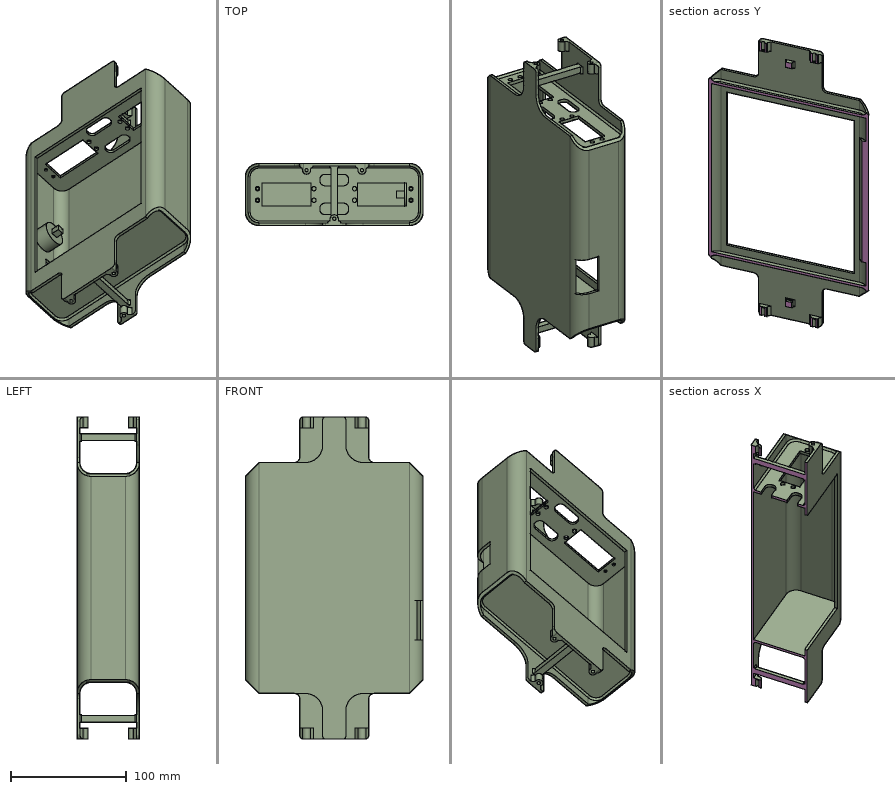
import cadquery as cq

WIDTH = 154.0
DEPTH = 54.0
HEIGHT = 279.0
WALL = 2.5
CORNER_RADIUS = 12.0
BODY_TOP = 100.0

HALF_WIDTH = WIDTH / 2
HALF_DEPTH = DEPTH / 2
HALF_HEIGHT = HEIGHT / 2
INNER_HALF_WIDTH = HALF_WIDTH - WALL
INNER_HALF_DEPTH = HALF_DEPTH - WALL
SIDE_TOP = BODY_TOP - CORNER_RADIUS

FRONT_TAB_HALF_WIDTH = 10.0
FRONT_TAB_ROOT_RADIUS = 15.0
FRONT_TAB_TIP_RADIUS = 2.5
BACK_TAB_HALF_WIDTH = 30.0
BACK_TAB_ROOT_RADIUS = 4.5
BACK_TAB_TIP_RADIUS = 3.5

PLATE_TOP = 88.5
PLATE_THICKNESS = 3.0
PLATE_EDGE_RISE = 1.7

SERVO_CENTER_X = 42.0
WINDOW_CENTER_X = 41.5
WINDOW_LENGTH = 42.4
WINDOW_WIDTH = 20.0
SERVO_HOLE_SPACING_X = 48.8
SERVO_HOLE_SPACING_Y = 10.0
INNER_HOLE_DIAMETER = 3.7
OUTER_HOLE_DIAMETER = 2.5
OUTER_HOLE_MOUTH_DIAMETER = 3.7
CABLE_SLOT_LENGTH = 25.0
CABLE_SLOT_WIDTH = 10.0
CABLE_SLOT_CENTER_Y = 12.5
CABLE_SLOT_CORNER_RADIUS = 4.5

BAR_SIZE = 6.0
BAR_CENTER_Z = 122.0
BAR_FLARE = 1.5
BAR_FLARE_DROP = 0.8

BOSS_DIAMETER = 7.0
BOSS_HEIGHT = 9.5
BOSS_CENTER_Y = 21.0
BOSS_HOLE_DIAMETER = 2.8
BOSS_HOLE_DEPTH = 8.0
BACK_BOSS_X = 24.0
BOSS_FLARE = 2.5

OPENING_HALF_WIDTH = 60.0
OPENING_HALF_HEIGHT = 78.0

SIDE_SLOT_FRONT_Y = -25.0
SIDE_SLOT_BACK_Y = -5.0
SIDE_SLOT_BOTTOM = -53.5
SIDE_SLOT_TOP = -19.7

WALL_BOSS_FACE_X = 61.0
WALL_BOSS_DIAMETER = 22.0
LUG_TIP_X = 54.0
LUG_SIZE = 6.0

WEB_HALF_HEIGHT = 62.0

BEVEL_CLEARANCE = 0.002


def box_between(x0, x1, y0, y1, z0, z1):
    """Box spanning the given coordinate ranges."""
    return cq.Workplane("XY").box(x1 - x0, y1 - y0, z1 - z0, centered=False).translate((x0, y0, z0))


def rounded_prism(width, depth, radius, z0, z1):
    """Vertical prism with a rounded rectangular section."""
    prism = cq.Workplane("XY").workplane(offset=z0).rect(width, depth).extrude(z1 - z0)
    return prism.edges("|Z").fillet(radius)


def both_ends(upper):
    """The given upper feature together with its mirror image at the lower end."""
    return upper.union(upper.mirror("XY"))


def wall_profile(tab_half_width, root_radius, tip_radius, y0, y1):
    """Prism along Y with the outline of one broad wall and its two end tabs."""
    bevel_x = HALF_WIDTH - CORNER_RADIUS
    root_x = tab_half_width + root_radius
    tip_x = tab_half_width - tip_radius
    quarter = (
        cq.Workplane("XZ", origin=(0, y0, 0))
        .lineTo(HALF_WIDTH, 0)
        .lineTo(HALF_WIDTH, SIDE_TOP)
        .lineTo(bevel_x, BODY_TOP)
        .lineTo(root_x, BODY_TOP)
        .radiusArc((tab_half_width, BODY_TOP + root_radius), root_radius)
        .lineTo(tab_half_width, HALF_HEIGHT - tip_radius)
        .radiusArc((tip_x, HALF_HEIGHT), -tip_radius)
        .lineTo(0, HALF_HEIGHT)
        .close()
        .extrude(y0 - y1)
    )
    return both_ends(quarter.union(quarter.mirror("YZ")))


def make_shell():
    """Rounded tube trimmed to the outlines of its front and back walls."""
    outer = rounded_prism(WIDTH, DEPTH, CORNER_RADIUS, -HALF_HEIGHT, HALF_HEIGHT)
    inner = rounded_prism(
        2 * INNER_HALF_WIDTH, 2 * INNER_HALF_DEPTH, CORNER_RADIUS - WALL, -HALF_HEIGHT, HALF_HEIGHT
    )
    front = wall_profile(
        FRONT_TAB_HALF_WIDTH, FRONT_TAB_ROOT_RADIUS, FRONT_TAB_TIP_RADIUS, -HALF_DEPTH, 0
    )
    back = wall_profile(BACK_TAB_HALF_WIDTH, BACK_TAB_ROOT_RADIUS, BACK_TAB_TIP_RADIUS, 0, HALF_DEPTH)
    return outer.cut(inner).intersect(front.union(back))


def make_end_plate():
    """Upper plate whose rim rises at 45 degrees to meet the walls."""
    width = 2 * INNER_HALF_WIDTH
    depth = 2 * INNER_HALF_DEPTH
    radius = CORNER_RADIUS - WALL
    bottom = PLATE_TOP - PLATE_THICKNESS
    plate = rounded_prism(width, depth, radius, bottom, PLATE_TOP + PLATE_EDGE_RISE)
    dish = rounded_prism(
        width, depth, radius, PLATE_TOP, PLATE_TOP + PLATE_EDGE_RISE
    ).faces("<Z").chamfer(PLATE_EDGE_RISE - BEVEL_CLEARANCE)
    return plate.cut(dish)


def make_plate_cutouts():
    """Servo windows, their screw holes and the two cable slots."""
    bottom = PLATE_TOP - PLATE_THICKNESS
    base = cq.Workplane("XY").workplane(offset=bottom)
    cutouts = rounded_prism(
        CABLE_SLOT_LENGTH, CABLE_SLOT_WIDTH, CABLE_SLOT_CORNER_RADIUS, bottom, PLATE_TOP
    ).translate((0, CABLE_SLOT_CENTER_Y, 0))
    cutouts = cutouts.union(cutouts.mirror("XZ"))
    inner_x = SERVO_CENTER_X - SERVO_HOLE_SPACING_X / 2
    outer_x = SERVO_CENTER_X + SERVO_HOLE_SPACING_X / 2
    for side in (-1, 1):
        window = base.center(side * WINDOW_CENTER_X, 0).rect(WINDOW_LENGTH, WINDOW_WIDTH)
        cutouts = cutouts.union(window.extrude(PLATE_THICKNESS))
        for y in (-SERVO_HOLE_SPACING_Y / 2, SERVO_HOLE_SPACING_Y / 2):
            inner_hole = base.center(side * inner_x, y).circle(INNER_HOLE_DIAMETER / 2)
            cutouts = cutouts.union(inner_hole.extrude(PLATE_THICKNESS))
            outer_hole = (
                base.center(side * outer_x, y)
                .circle(OUTER_HOLE_DIAMETER / 2)
                .workplane(offset=PLATE_THICKNESS)
                .circle(OUTER_HOLE_MOUTH_DIAMETER / 2)
                .loft()
            )
            cutouts = cutouts.union(outer_hole)
    return cutouts


def make_cross_bar():
    """Upper bar between the tabs, flared where it meets them."""
    half = BAR_SIZE / 2
    top = BAR_CENTER_Z + half
    bottom = BAR_CENTER_Z - half
    bar = box_between(-half, half, -INNER_HALF_DEPTH, INNER_HALF_DEPTH, bottom, top)
    flare_center_z = BAR_CENTER_Z - BAR_FLARE_DROP / 2
    flare = (
        cq.Workplane("XZ", origin=(0, INNER_HALF_DEPTH, flare_center_z))
        .rect(BAR_SIZE + 2 * BAR_FLARE, BAR_SIZE + BAR_FLARE_DROP)
        .workplane(offset=BAR_FLARE)
        .rect(BAR_SIZE, BAR_SIZE + BAR_FLARE_DROP)
        .loft()
    )
    return bar.union(flare).union(flare.mirror("XZ"))


def make_tab_boss(x, side):
    """Screw boss at the tip of an upper tab; side is +1 for the back tab, -1 for the front."""
    radius = BOSS_DIAMETER / 2
    bottom = HALF_HEIGHT - BOSS_HEIGHT
    base = cq.Workplane("XY").workplane(offset=bottom)
    flare_end_y = INNER_HALF_DEPTH - BOSS_FLARE
    neck = (
        base.moveTo(x - radius, side * BOSS_CENTER_Y)
        .lineTo(x - radius, side * flare_end_y)
        .lineTo(x - radius - BOSS_FLARE, side * INNER_HALF_DEPTH)
        .lineTo(x + radius + BOSS_FLARE, side * INNER_HALF_DEPTH)
        .lineTo(x + radius, side * flare_end_y)
        .lineTo(x + radius, side * BOSS_CENTER_Y)
        .close()
        .extrude(BOSS_HEIGHT)
    )
    boss = base.center(x, side * BOSS_CENTER_Y).circle(radius).extrude(BOSS_HEIGHT)
    hole = (
        cq.Workplane("XY", origin=(x, side * BOSS_CENTER_Y, HALF_HEIGHT - BOSS_HOLE_DEPTH))
        .circle(BOSS_HOLE_DIAMETER / 2)
        .extrude(BOSS_HOLE_DEPTH)
    )
    tab_limits = wall_profile(
        BACK_TAB_HALF_WIDTH, BACK_TAB_ROOT_RADIUS, BACK_TAB_TIP_RADIUS, -HALF_DEPTH, HALF_DEPTH
    )
    return neck.union(boss).cut(hole).intersect(tab_limits)


def make_wall_boss():
    """Round boss on the inner face of the +X wall with a square lug on its axis."""
    boss = (
        cq.Workplane("YZ", origin=(WALL_BOSS_FACE_X, 0, 0))
        .circle(WALL_BOSS_DIAMETER / 2)
        .extrude(INNER_HALF_WIDTH - WALL_BOSS_FACE_X)
    )
    half = LUG_SIZE / 2
    lug = box_between(LUG_TIP_X, INNER_HALF_WIDTH, -half, half, -half, half)
    return boss.union(lug)


def make_corner_web():
    """Prism with a flat diagonal face across the inside of the +X, +Y corner."""
    center_x = HALF_WIDTH - CORNER_RADIUS
    center_y = HALF_DEPTH - CORNER_RADIUS
    inner_radius = CORNER_RADIUS - WALL
    return (
        cq.Workplane("XY", origin=(center_x, center_y, -WEB_HALF_HEIGHT))
        .moveTo(inner_radius, 0)
        .radiusArc((0, inner_radius), -inner_radius)
        .close()
        .extrude(2 * WEB_HALF_HEIGHT)
    )


def make_back_opening():
    """Rectangular opening through the back wall."""
    return box_between(
        -OPENING_HALF_WIDTH,
        OPENING_HALF_WIDTH,
        INNER_HALF_DEPTH,
        HALF_DEPTH,
        -OPENING_HALF_HEIGHT,
        OPENING_HALF_HEIGHT,
    )


def make_side_slot():
    """Slot through the +X wall that also breaks out of the rounded front corner."""
    corner_center_x = HALF_WIDTH - CORNER_RADIUS
    return box_between(
        corner_center_x,
        HALF_WIDTH,
        SIDE_SLOT_FRONT_Y,
        SIDE_SLOT_BACK_Y,
        SIDE_SLOT_BOTTOM,
        SIDE_SLOT_TOP,
    )


result = make_shell()
result = result.union(both_ends(make_end_plate()))
result = result.union(both_ends(make_cross_bar()))
for boss_x, boss_side in ((-BACK_BOSS_X, 1), (BACK_BOSS_X, 1), (0, -1)):
    result = result.union(both_ends(make_tab_boss(boss_x, boss_side)))
result = result.union(make_wall_boss())
result = result.union(make_corner_web())
result = result.cut(make_plate_cutouts())
result = result.cut(make_back_opening())
result = result.cut(make_side_slot())